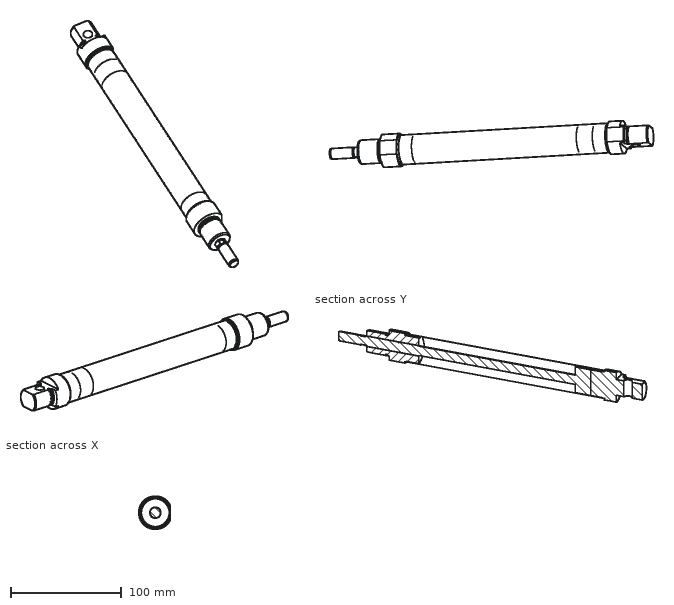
import cadquery as cq

total_length = 300.0

flange_radius = 15.0
tube_radius = 13.5
bore_radius = 12.5
lip_radius = tube_radius
nose_radius = 22.0 / 2
groove_radius = 19.5 / 2
flange_flat_y = tube_radius

lip_length = 1.8
groove_length = 1.5
shoulder_length = 1.8
spigot_length = 12.0

rear_flange_start = 22.0
rear_flange_end = 37.5
lug_thickness = 16.2
lug_flat_end = 25.5
pin_hole_x = 14.0
pin_hole_diameter = 8.0
lug_chamfer_length = 1.2
lug_chamfer_depth = 0.5

front_flange_start = 234.5
front_flange_end = 250.2
nose_end = 272.5
nose_chamfer_length = 1.5
nose_chamfer_depth = 1.0

rod_radius = 10.0 / 2
piston_length = 15.0
wrench_flat_start = 273.5
wrench_flat_width = 9.0
neck_chamfer_start = 277.0
neck_chamfer_length = 0.5
undercut_end = 278.5
undercut_radius = 4.5
tip_chamfer_length = 1.5
tip_chamfer_depth = 0.5

tube_start = rear_flange_end + lip_length
tube_end = front_flange_start - lip_length
piston_start = tube_start + spigot_length


def cylinder(start, end, radius):
    """Solid cylinder on the X axis."""
    return cq.Workplane("YZ").workplane(offset=start).circle(radius).extrude(end - start)


def cone(start, end, start_radius, end_radius):
    """Solid truncated cone on the X axis."""
    profile = [(start, 0), (start, start_radius), (end, end_radius), (end, 0)]
    return cq.Workplane("XY").polyline(profile).close().revolve(360, (0, 0), (1, 0))


def block(start, end, y_low, y_high, z_low, z_high):
    """Axis-aligned box given by its limits."""
    return (
        cq.Workplane("XY")
        .box(end - start, y_high - y_low, z_high - z_low, centered=False)
        .translate((start, y_low, z_low))
    )


def flange(start, end):
    """Round flange with its +Y side flattened."""
    round_flange = cylinder(start, end, flange_radius)
    waste = block(start, end, flange_flat_y, flange_radius, -flange_radius, flange_radius)
    return round_flange.cut(waste)


def cut_parallel_flats(body, start, end, width, radius):
    """Cut flats on +Z and -Z, leaving the given width between them."""
    half_width = width / 2
    for low, high in ((half_width, radius), (-radius, -half_width)):
        body = body.cut(block(start, end, -radius, radius, low, high))
    return body


def make_tube():
    """Thin-walled barrel between the two caps."""
    return cylinder(tube_start, tube_end, tube_radius).cut(cylinder(tube_start, tube_end, bore_radius))


def make_rear_cap():
    """Rear cap with a flat pivot lug and a vertical pin hole."""
    groove_end = rear_flange_start - shoulder_length
    groove_start = groove_end - groove_length
    cap = cone(0, lug_chamfer_length, nose_radius - lug_chamfer_depth, nose_radius)
    cap = cap.union(cylinder(lug_chamfer_length, groove_start, nose_radius))
    cap = cap.union(cylinder(groove_start, groove_end, groove_radius))
    cap = cap.union(cylinder(groove_end, rear_flange_start, nose_radius))
    cap = cap.union(flange(rear_flange_start, rear_flange_end))
    cap = cap.union(cylinder(rear_flange_end, tube_start, lip_radius))
    cap = cap.union(cylinder(tube_start, tube_start + spigot_length, bore_radius))
    cap = cut_parallel_flats(cap, 0, lug_flat_end, lug_thickness, flange_radius)
    hole = (
        cq.Workplane("XY")
        .center(pin_hole_x, 0)
        .circle(pin_hole_diameter / 2)
        .extrude(flange_radius, both=True)
    )
    return cap.cut(hole)


def make_front_cap():
    """Front cap with a round mounting nose, bored for the rod."""
    groove_start = front_flange_end + shoulder_length
    groove_end = groove_start + groove_length
    chamfer_start = nose_end - nose_chamfer_length
    cap = cylinder(groove_end, chamfer_start, nose_radius)
    cap = cap.union(cone(chamfer_start, nose_end, nose_radius, nose_radius - nose_chamfer_depth))
    cap = cap.union(cylinder(groove_start, groove_end, groove_radius))
    cap = cap.union(cylinder(front_flange_end, groove_start, nose_radius))
    cap = cap.union(flange(front_flange_start, front_flange_end))
    cap = cap.union(cylinder(tube_end, front_flange_start, lip_radius))
    cap = cap.union(cylinder(tube_end - spigot_length, tube_end, bore_radius))
    return cap.cut(cylinder(tube_end - spigot_length, nose_end, rod_radius))


def make_rod():
    """Retracted piston rod with wrench flats, undercut and chamfered tip."""
    piston_end = piston_start + piston_length
    undercut_start = neck_chamfer_start + neck_chamfer_length
    tip_start = total_length - tip_chamfer_length
    rod = cylinder(piston_start, piston_end, bore_radius)
    rod = rod.union(cylinder(piston_end, neck_chamfer_start, rod_radius))
    rod = rod.union(cone(neck_chamfer_start, undercut_start, rod_radius, undercut_radius))
    rod = rod.union(cylinder(undercut_start, undercut_end, undercut_radius))
    rod = rod.union(cylinder(undercut_end, tip_start, rod_radius))
    rod = rod.union(cone(tip_start, total_length, rod_radius, rod_radius - tip_chamfer_depth))
    return cut_parallel_flats(rod, wrench_flat_start, undercut_start, wrench_flat_width, rod_radius)


tube = make_tube()
rear_cap = make_rear_cap()
front_cap = make_front_cap()
rod = make_rod()
result = cq.Compound.makeCompound([tube.val(), rear_cap.val(), front_cap.val(), rod.val()])